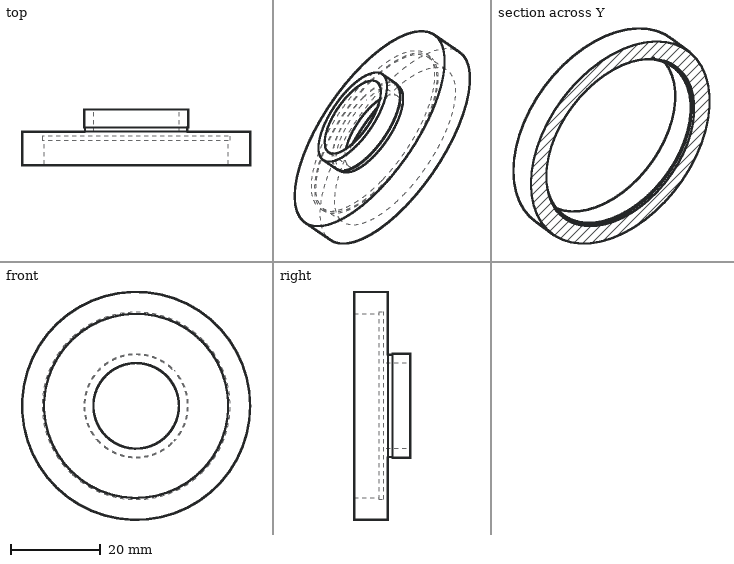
import cadquery as cq

flange_diameter = 50.8
flange_thickness = 7.5
recess_diameter = 41.0
recess_depth = 6.5

relief_width = 0.95
recess_relief_depth = 0.4
neck_relief_depth = 0.2

total_depth = 12.5
seat_diameter = 23.2
bore_diameter = 19.0

neck_diameter = seat_diameter - 2 * neck_relief_depth
seat_start = flange_thickness + relief_width
recess_relief_diameter = recess_diameter + 2 * recess_relief_depth


def disc(diameter, start, end):
    """Solid disc about the Y axis between two Y positions."""
    plane = cq.Workplane("XZ", origin=(0, start, 0))
    return plane.circle(diameter / 2).extrude(start - end)


flange = disc(flange_diameter, 0, flange_thickness)
neck = disc(neck_diameter, flange_thickness, seat_start)
seat = disc(seat_diameter, seat_start, total_depth)
recess = disc(recess_diameter, 0, recess_depth)
recess_relief = disc(recess_relief_diameter, recess_depth - relief_width, recess_depth)
bore = disc(bore_diameter, 0, total_depth)

result = flange.union(neck).union(seat).cut(recess).cut(recess_relief).cut(bore)